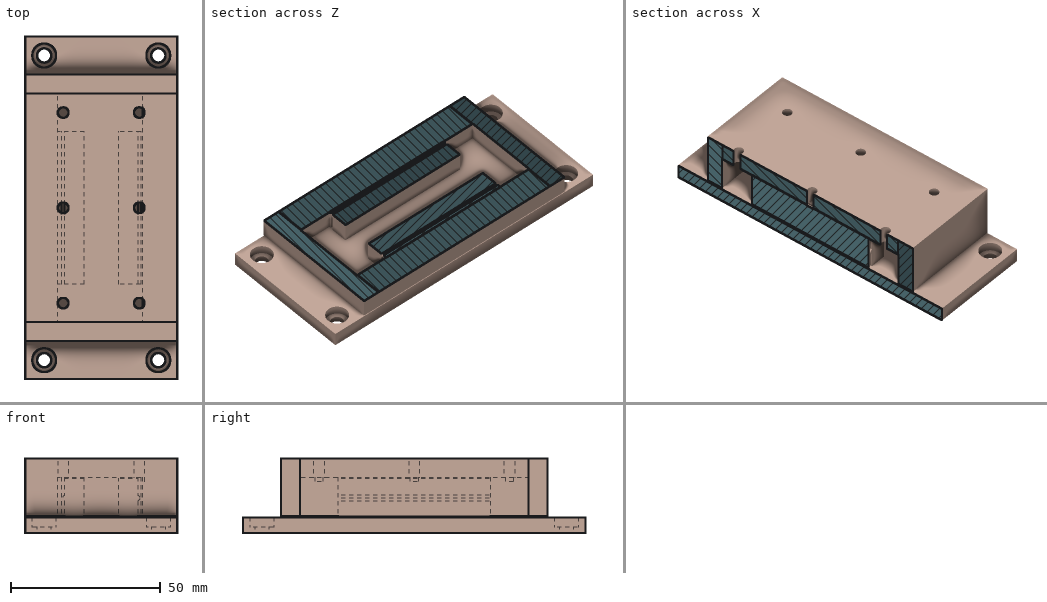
import cadquery as cq

WIDTH = 50.7
BASE_LENGTH = 114.3
TOTAL_HEIGHT = 24.9

BASE_THICKNESS = 5.3
MOUNT_SPACING_X = 38.1
MOUNT_SPACING_Y = 101.6
MOUNT_DIAMETER = 4.7
COUNTERBORE_DIAMETER = 8.0
COUNTERBORE_DEPTH = 3.2

RUNNING_GAP = 0.3
CARRIAGE_LENGTH = 76.2
CAPPED_LENGTH = 88.9
TOP_THICKNESS = 6.4
CAVITY_WALL_X_MIN = -14.5
CAVITY_WALL_X_MAX = 13.8
LOAD_HOLE_DIAMETER = 3.5
LOAD_HOLE_DEPTH = 7.7
LOAD_HOLE_SPACING_X = 25.4
LOAD_HOLE_SPACING_Y = 31.8

RAIL_LENGTH = 50.7
RAIL_SLIT = 1.0
INNER_RAIL_WIDTH = 6.4

CARRIAGE_BOTTOM = BASE_THICKNESS + RUNNING_GAP
CARRIAGE_HEIGHT = TOTAL_HEIGHT - CARRIAGE_BOTTOM
CAP_LENGTH = (CAPPED_LENGTH - CARRIAGE_LENGTH) / 2
CEILING = TOTAL_HEIGHT - TOP_THICKNESS
CAVITY_HEIGHT = CEILING - CARRIAGE_BOTTOM
SLIT_CENTRE = LOAD_HOLE_SPACING_X / 2


def block(width, length, height, bottom, y=0):
    """Box centred on X, with its middle at y and its underside at bottom."""
    body = cq.Workplane("XY").box(width, length, height, centered=(True, True, False))
    return body.translate((0, y, bottom))


def block_between(x_start, x_end, length, height, bottom):
    """Box from x_start to x_end, centred on Y, with its underside at bottom."""
    return block(abs(x_end - x_start), length, height, bottom).translate(((x_start + x_end) / 2, 0, 0))


def make_base():
    plate = block(WIDTH, BASE_LENGTH, BASE_THICKNESS, 0)
    return (
        plate.faces(">Z")
        .workplane()
        .rarray(MOUNT_SPACING_X, MOUNT_SPACING_Y, 2, 2)
        .cboreHole(MOUNT_DIAMETER, COUNTERBORE_DIAMETER, COUNTERBORE_DEPTH)
    )


def make_carriage():
    body = block(WIDTH, CARRIAGE_LENGTH, CARRIAGE_HEIGHT, CARRIAGE_BOTTOM)
    cavity = block_between(
        CAVITY_WALL_X_MIN, CAVITY_WALL_X_MAX, CARRIAGE_LENGTH, CAVITY_HEIGHT, CARRIAGE_BOTTOM
    )
    body = body.cut(cavity)
    return (
        body.faces(">Z")
        .workplane()
        .rarray(LOAD_HOLE_SPACING_X, LOAD_HOLE_SPACING_Y, 2, 3)
        .hole(LOAD_HOLE_DIAMETER, LOAD_HOLE_DEPTH)
    )


def make_end_cap(side):
    y = side * (CARRIAGE_LENGTH + CAP_LENGTH) / 2
    return block(WIDTH, CAP_LENGTH, CARRIAGE_HEIGHT, CARRIAGE_BOTTOM, y)


def make_inner_rail(side):
    """Rail on the base whose 45 degree V ridge spans the slit up to the outer rail."""
    face_x = SLIT_CENTRE - RAIL_SLIT / 2
    back_x = face_x - INNER_RAIL_WIDTH
    tip_x = face_x + RAIL_SLIT
    top = CEILING - RUNNING_GAP
    tip_z = (BASE_THICKNESS + top) / 2
    profile = [
        (back_x, BASE_THICKNESS),
        (face_x, BASE_THICKNESS),
        (face_x, tip_z - RAIL_SLIT),
        (tip_x, tip_z),
        (face_x, tip_z + RAIL_SLIT),
        (face_x, top),
        (back_x, top),
    ]
    points = [(side * x, z) for x, z in profile]
    return cq.Workplane("XZ").polyline(points).close().extrude(RAIL_LENGTH / 2, both=True)


def make_outer_rail(side, wall_x):
    """Flat strip against a side wall of the carriage cavity, up to its ceiling."""
    face_x = side * (SLIT_CENTRE + RAIL_SLIT / 2)
    return block_between(face_x, wall_x, RAIL_LENGTH, CAVITY_HEIGHT, CARRIAGE_BOTTOM)


SIDES = (-1, 1)
base = make_base()
carriage = make_carriage()
end_caps = [make_end_cap(side) for side in SIDES]
inner_rails = [make_inner_rail(side) for side in SIDES]
outer_rails = [
    make_outer_rail(-1, CAVITY_WALL_X_MIN),
    make_outer_rail(1, CAVITY_WALL_X_MAX),
]

bodies = [base, carriage, *end_caps, *inner_rails, *outer_rails]
result = cq.Compound.makeCompound([body.val() for body in bodies])